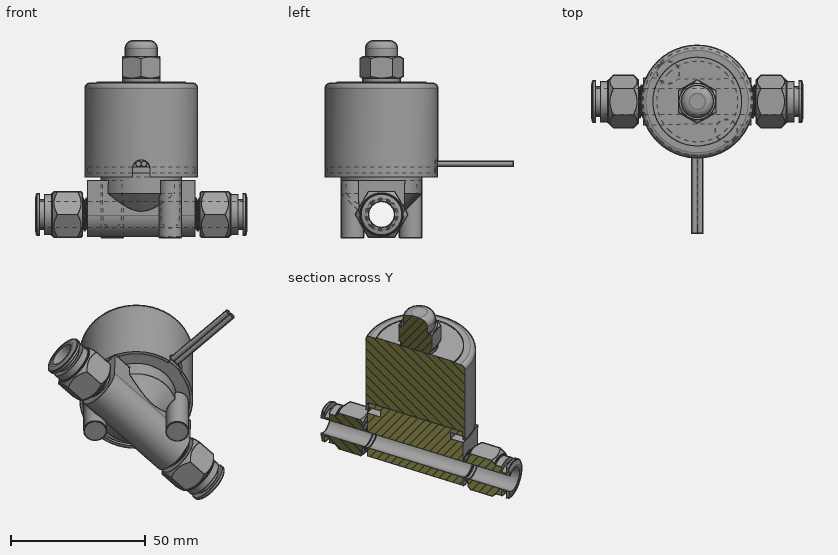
import cadquery as cq
import math

AXIS_Z = 8.75
BLOCK_BOTTOM_Z = 0.5
BLOCK_ROUND_Z = 8.4
BLOCK_TOP_Z = 21.4
NECK_BOTTOM_Z = 16.5
CASE_BOTTOM_Z = 22.6
FLANGE_BOTTOM_Z = 24.1
FLANGE_TOP_Z = 26.45
CASE_SHOULDER_Z = 57.55
CASE_TOP_Z = 57.95
CAP_TOP_Z = 73.4

BLOCK_LENGTH = 40.0
BLOCK_HALF_WIDTH_TOP = 8.7
BLOCK_HALF_WIDTH_BOTTOM = 8.35
BORE_DIA = 9.5
NECK_DIA = 30.0
NECK_CONE_HEIGHT = 7.0
FLANGE_DIA = 40.0
BOSS_DIA = 8.5
BOSS_OFFSET = 10.8
BOSS_CHAMFER = 0.2

CASE_DIA = 42.0
CASE_EDGE_RADIUS = 2.0
TOP_DISC_DIA = 33.0
NOTCH_WIDTH = 6.4
NOTCH_ARCH_Z = 25.8

WIRE_DIA = 2.05
WIRE_Z = 27.55
PART_DEPTH = 70.0

WASHER_DIA = 14.0
WASHER_HEIGHT = 1.3
CAP_HEX_FLATS = 14.0
CAP_HEX_HEIGHT = 8.2
CAP_HEX_END_DIA = 13.5
CAP_CHAMFER_ANGLE = 30
DOME_DIA = 12.0
DOME_RADIUS = 3.0

PART_LENGTH = 78.75
TIP_FACE_DIA = 11.5
COLLET_CONE_DIA = 15.0
COLLET_DIA = 15.5
COLLET_CONE_END = 0.4
COLLET_RIM_START = 0.6
COLLET_RIM_END = 1.6
COLLET_NECK_DIA = 11.0
SLEEVE_START = 3.4
SLEEVE_DIA = 15.0
COLLAR_START = 6.1
COLLAR_DIA = 15.5
HEX_START = 6.45
HEX_END = 17.5
FITTING_HEX_FLATS = 17.0
FITTING_HEX_END_DIA = 16.1
FITTING_CHAMFER_ANGLE = 45
FITTING_LENGTH = (PART_LENGTH - BLOCK_LENGTH) / 2
THREAD_DIA = 12.2
THREAD_ROOT_DIA = 10.2
THREAD_PITCH = 1.4
THREAD_CREST_WIDTH = 0.3
THREAD_ROOT_WIDTH = 1.25
THREAD_OVERLAP = 0.15
THREAD_START_GAP = 0.15
THREAD_TURNS = 4


def cylinder(diameter, bottom, top, x=0.0, y=0.0):
    """Upright cylinder between two levels."""
    return cq.Workplane("XY", origin=(x, y, bottom)).circle(diameter / 2).extrude(top - bottom)


def chamfered_hex(flats, height, end_dia, angle, turn):
    """Upright hexagonal prism from Z = 0 whose corners are turned to a cone at both ends."""
    corner_dia = flats / math.cos(math.radians(30))
    prism = cq.Workplane("XY").polygon(6, corner_dia).extrude(height).rotate((0, 0, 0), (0, 0, 1), turn)
    end_radius = end_dia / 2
    rise = (corner_dia / 2 - end_radius) * math.tan(math.radians(angle))
    turned = (
        cq.Workplane("XZ")
        .moveTo(0, 0)
        .lineTo(end_radius, 0)
        .lineTo(corner_dia / 2, rise)
        .lineTo(corner_dia / 2, height - rise)
        .lineTo(end_radius, height)
        .lineTo(0, height)
        .close()
        .revolve(360, (0, 0, 0), (0, 1, 0))
    )
    return prism.intersect(turned)


def make_valve_body():
    """Ported block with rounded underside, neck, flange and two mounting bosses."""
    block = (
        cq.Workplane("YZ", origin=(-BLOCK_LENGTH / 2, 0, 0))
        .moveTo(-BLOCK_HALF_WIDTH_BOTTOM, BLOCK_ROUND_Z)
        .threePointArc((0, BLOCK_BOTTOM_Z), (BLOCK_HALF_WIDTH_BOTTOM, BLOCK_ROUND_Z))
        .lineTo(BLOCK_HALF_WIDTH_TOP, BLOCK_TOP_Z)
        .lineTo(-BLOCK_HALF_WIDTH_TOP, BLOCK_TOP_Z)
        .close()
        .extrude(BLOCK_LENGTH)
    )
    neck_radius = NECK_DIA / 2
    neck = (
        cq.Workplane("XZ")
        .moveTo(0, NECK_BOTTOM_Z - NECK_CONE_HEIGHT)
        .lineTo(neck_radius - NECK_CONE_HEIGHT, NECK_BOTTOM_Z - NECK_CONE_HEIGHT)
        .lineTo(neck_radius, NECK_BOTTOM_Z)
        .lineTo(neck_radius, FLANGE_BOTTOM_Z)
        .lineTo(FLANGE_DIA / 2, FLANGE_BOTTOM_Z)
        .lineTo(FLANGE_DIA / 2, FLANGE_TOP_Z)
        .lineTo(0, FLANGE_TOP_Z)
        .close()
        .revolve(360, (0, 0, 0), (0, 1, 0))
    )
    body = block.union(neck)
    for side in (1, -1):
        boss = cylinder(BOSS_DIA, 0, BLOCK_TOP_Z, side * BOSS_OFFSET, -side * BOSS_OFFSET)
        body = body.union(boss.faces("<Z").chamfer(BOSS_CHAMFER))
    bore = (
        cq.Workplane("YZ", origin=(-BLOCK_LENGTH / 2, 0, AXIS_Z))
        .circle(BORE_DIA / 2)
        .extrude(BLOCK_LENGTH)
    )
    return body.cut(bore)


def make_coil_case():
    """Round case with a recess for the flange and an arched notch where the wires leave."""
    case = cylinder(CASE_DIA, CASE_BOTTOM_Z, CASE_SHOULDER_Z).faces(">Z").edges().fillet(CASE_EDGE_RADIUS)
    case = case.union(cylinder(TOP_DISC_DIA, CASE_SHOULDER_Z, CASE_TOP_Z))
    case = case.cut(cylinder(FLANGE_DIA, CASE_BOTTOM_Z, FLANGE_TOP_Z))
    half = NOTCH_WIDTH / 2
    notch = (
        cq.Workplane("XZ")
        .moveTo(-half, CASE_BOTTOM_Z)
        .lineTo(-half, NOTCH_ARCH_Z)
        .threePointArc((0, NOTCH_ARCH_Z + half), (half, NOTCH_ARCH_Z))
        .lineTo(half, CASE_BOTTOM_Z)
        .close()
        .extrude(CASE_DIA)
    )
    return case.cut(notch.cut(cylinder(FLANGE_DIA, CASE_BOTTOM_Z, CASE_TOP_Z)))


def make_wire(x):
    """Straight lead wire that starts on the curved back of the notch."""
    tip = PART_DEPTH - CASE_DIA / 2
    wire = cq.Workplane("XZ", origin=(x, 0, WIRE_Z)).circle(WIRE_DIA / 2).extrude(tip)
    return wire.cut(cylinder(FLANGE_DIA, CASE_BOTTOM_Z, CASE_TOP_Z))


def make_cap_nut():
    """Domed hexagonal nut with a round washer face, seated on top of the case."""
    hex_bottom = CASE_TOP_Z + WASHER_HEIGHT
    hex_top = hex_bottom + CAP_HEX_HEIGHT
    hexagon = chamfered_hex(CAP_HEX_FLATS, CAP_HEX_HEIGHT, CAP_HEX_END_DIA, CAP_CHAMFER_ANGLE, 30)
    dome = cylinder(DOME_DIA, hex_top, CAP_TOP_Z)
    dome = dome.faces(">Z").edges().fillet(DOME_RADIUS)
    washer = cylinder(WASHER_DIA, CASE_TOP_Z, hex_bottom)
    return washer.union(hexagon.translate((0, 0, hex_bottom))).union(dome)


def make_thread_ridge():
    """Right-handed helical ridge along Z, starting at Z = 0."""
    path = cq.Wire.makeHelix(THREAD_PITCH, THREAD_PITCH * THREAD_TURNS, THREAD_ROOT_DIA / 2)
    inner = THREAD_ROOT_DIA / 2 - THREAD_OVERLAP
    outer = THREAD_DIA / 2
    profile = cq.Workplane("XZ").polyline(
        [
            (inner, -THREAD_ROOT_WIDTH / 2),
            (outer, -THREAD_CREST_WIDTH / 2),
            (outer, THREAD_CREST_WIDTH / 2),
            (inner, THREAD_ROOT_WIDTH / 2),
        ]
    )
    return profile.close().sweep(cq.Workplane(path), isFrenet=True)


def make_fitting():
    """Push-in fitting standing on its tip: Z = 0 is the tip, +Z points towards the block."""
    turned = (
        cq.Workplane("XZ")
        .moveTo(0, 0)
        .lineTo(TIP_FACE_DIA / 2, 0)
        .lineTo(COLLET_CONE_DIA / 2, COLLET_CONE_END)
        .lineTo(COLLET_DIA / 2, COLLET_RIM_START)
        .lineTo(COLLET_DIA / 2, COLLET_RIM_END)
        .lineTo(COLLET_NECK_DIA / 2, COLLET_RIM_END)
        .lineTo(COLLET_NECK_DIA / 2, SLEEVE_START)
        .lineTo(SLEEVE_DIA / 2, SLEEVE_START)
        .lineTo(SLEEVE_DIA / 2, COLLAR_START)
        .lineTo(COLLAR_DIA / 2, COLLAR_START)
        .lineTo(COLLAR_DIA / 2, HEX_START)
        .lineTo(THREAD_ROOT_DIA / 2, HEX_START)
        .lineTo(THREAD_ROOT_DIA / 2, FITTING_LENGTH)
        .lineTo(0, FITTING_LENGTH)
        .close()
        .revolve(360, (0, 0, 0), (0, 1, 0))
    )
    hex_height = HEX_END - HEX_START
    hexagon = chamfered_hex(
        FITTING_HEX_FLATS, hex_height, FITTING_HEX_END_DIA, FITTING_CHAMFER_ANGLE, 30
    ).translate((0, 0, HEX_START))
    ridge = make_thread_ridge().rotate((0, 0, 0), (0, 0, 1), 180)
    ridge = ridge.translate((0, 0, HEX_END + THREAD_START_GAP - THREAD_PITCH))
    exposed = cylinder(COLLAR_DIA, HEX_END, FITTING_LENGTH)
    fitting = turned.union(hexagon).union(ridge.intersect(exposed))
    return fitting.cut(cylinder(BORE_DIA, 0, FITTING_LENGTH))


def place_fitting(fitting, turn):
    """Lay a fitting along the flow axis on the -X side, then turn it about the valve axis."""
    laid = fitting.rotate((0, 0, 0), (0, 1, 0), 90).translate((-PART_LENGTH / 2, 0, AXIS_Z))
    return laid.rotate((0, 0, 0), (0, 0, 1), turn)


valve_body = make_valve_body()
coil_case = make_coil_case()
cap_nut = make_cap_nut()
wires = [make_wire(side * WIRE_DIA / 2) for side in (-1, 1)]
fitting_shape = make_fitting()
fittings = [place_fitting(fitting_shape, turn) for turn in (0, 180)]

bodies = [valve_body, coil_case, cap_nut, *wires, *fittings]
result = cq.Compound.makeCompound([body.solids().val() for body in bodies])